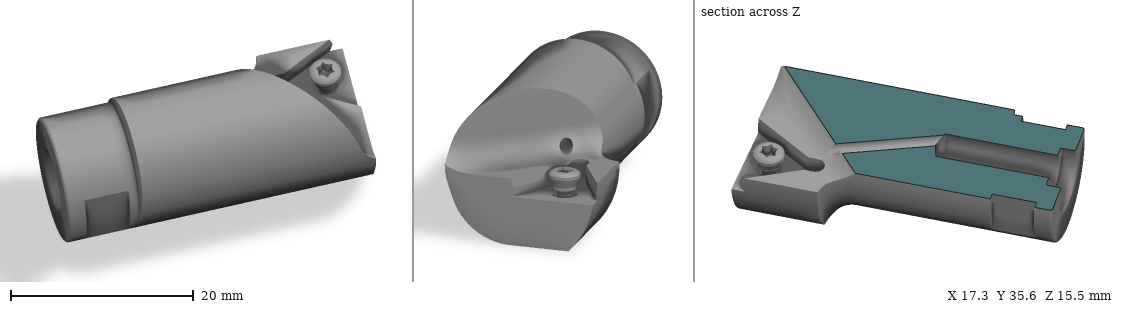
import cadquery as cq
import math


body_radius = 7.0
body_length = 35.59
shank_length = 8.0
shank_chamfer = 0.2
body_offset = 1.6
body_offset_angle = 19.7
shoulder_slope = 14.0
end_face_angle = 3.0

flats_across = 12.0
flat_start = 2.0
flat_width = 5.0

bore_diameter = 4.92
bore_depth = 14.5
bore_tip_angle = 118.0
counterbore_diameter = 6.86
counterbore_depth = 1.7
counterbore_chamfer = 0.2
coolant_diameter = 1.5
coolant_exit = (-3.56, 25.3, 1.68)
coolant_angle = 22.0
coolant_inner_length = 12.5
coolant_outer_length = 3.0

head_radius = 9.76
neck_end = 22.7
neck_fillet = 3.1
seat_height = 0.65
relief_angle = 40.0
relief_fillet = 3.2
relief_edge_y = 31.10

screw_x = -5.50
screw_y = 32.48
pocket_floor = -1.43
pocket_inscribed_radius = 3.03
pocket_corner_angle = 60.0
upper_wall_angle = 8.0
lower_wall_angle = 4.0
pocket_arm = 14.0
slot_width = 2.01
slot_x = -5.69
slot_end_y = 27.1
slot_top = 2.0

screw_shank_diameter = 1.5
countersink_diameter = 2.9
screw_end = -5.5
screw_head_diameter = 3.5
screw_neck_diameter = 2.5
screw_crown_diameter = 2.3
screw_rim_top = 0.97
screw_rim_bottom = 0.6
screw_crown_top = 1.32
dome_mid_radius = 1.5
dome_mid_height = 1.20
screw_neck_top = -0.4
screw_neck_bottom = -0.75

socket_points = 6
socket_tip_radius = 1.13
socket_valley_radius = 0.78
socket_depth = 1.0
socket_cone_depth = 0.7

clearance = 20.0


def along_y(start):
    """XZ workplane at Y = start whose extrusions run toward +Y; local x is -X, local y is Z."""
    return cq.Workplane(cq.Plane((0, start, 0), xDir=(-1, 0, 0), normal=(0, 1, 0)))


def about_y(profile):
    """Turns a profile, drawn with x as the radius and y along the shank, about the Y axis."""
    return profile.close().revolve(360, (0, 0, 0), (0, 1, 0))


def make_blank():
    """Shank and offset body, whose outline is two circles joined by their common tangents."""
    lean = math.radians(body_offset_angle)
    offset_x = body_offset * math.sin(lean)
    offset_z = body_offset * math.cos(lean)
    side_x = body_radius * math.cos(lean)
    side_z = body_radius * math.sin(lean)
    top_x = offset_x + body_radius * math.sin(lean)
    top_z = offset_z + body_radius * math.cos(lean)
    outline = (
        along_y(shank_length)
        .moveTo(side_x, side_z)
        .lineTo(side_x - offset_x, side_z + offset_z)
        .threePointArc((-top_x, top_z), (-side_x - offset_x, offset_z - side_z))
        .lineTo(-side_x, -side_z)
        .threePointArc(
            (body_radius * math.sin(lean), -body_radius * math.cos(lean)), (side_x, side_z)
        )
        .close()
    )
    body = outline.extrude(body_length - shank_length)
    shoulder_radius = body_radius + 2 * body_offset
    shoulder_rise = 2 * body_offset * math.tan(math.radians(shoulder_slope))
    shoulder = about_y(
        cq.Workplane("XY")
        .moveTo(body_radius, shank_length)
        .lineTo(shoulder_radius, shank_length)
        .lineTo(shoulder_radius, shank_length + shoulder_rise)
    )
    shank = along_y(0).circle(body_radius).extrude(shank_length).faces("<Y").chamfer(shank_chamfer)
    return body.cut(shoulder).union(shank)


def make_head():
    """Quarter flange on the -X side, blended into the body by a concave neck."""
    arc_centre = body_radius + neck_fillet
    neck_start = neck_end + math.sqrt(neck_fillet**2 - (arc_centre - head_radius) ** 2)
    arc_reach = neck_fillet * math.sqrt(0.5)
    flange = about_y(
        cq.Workplane("XY")
        .moveTo(0, neck_end)
        .lineTo(body_radius, neck_end)
        .threePointArc((arc_centre - arc_reach, neck_end + arc_reach), (head_radius, neck_start))
        .lineTo(head_radius, body_length)
        .lineTo(0, body_length)
    )
    flange_top = body_radius * math.sin(math.radians(body_offset_angle))
    quarter = cq.Workplane("XY").box(
        clearance, body_length, body_radius + flange_top, centered=False
    ).translate((-clearance, 0, -body_radius))
    return flange.intersect(quarter)


def make_relief():
    """Clears the body ahead of the oblique wall and leaves the flat around the insert."""
    turn = math.radians(relief_angle)
    plane = cq.Plane(
        (0, relief_edge_y, seat_height),
        xDir=(-math.sin(turn), math.cos(turn), 0),
        normal=(math.cos(turn), math.sin(turn), 0),
    )
    arc_drop = relief_fillet * (1 - math.sqrt(0.5))
    return (
        cq.Workplane(plane)
        .moveTo(clearance, 0)
        .lineTo(0, 0)
        .threePointArc((arc_drop - relief_fillet, arc_drop), (-relief_fillet, relief_fillet))
        .lineTo(-relief_fillet, clearance)
        .lineTo(clearance, clearance)
        .close()
        .extrude(clearance, both=True)
    )


def make_end_trim():
    """Everything ahead of the slanting front face."""
    corner_x = -math.sqrt(head_radius**2 - pocket_floor**2)
    return (
        cq.Workplane("XY")
        .box(2 * clearance, clearance, 2 * clearance, centered=(True, False, True))
        .rotate((0, 0, 0), (0, 0, 1), -end_face_angle)
        .translate((corner_x, body_length, 0))
    )


def make_flats():
    """Two wrench flats on the sides of the shank."""
    cutter = cq.Workplane("XY").box(
        clearance, flat_width, clearance, centered=(False, False, True)
    ).translate((flats_across / 2, flat_start, 0))
    return cutter.union(cutter.mirror("YZ"))


def make_bore():
    """Chamfered counterbore and drilled bore with a conical end."""
    bore_radius = bore_diameter / 2
    counterbore_radius = counterbore_diameter / 2
    tip = bore_depth + bore_radius / math.tan(math.radians(bore_tip_angle / 2))
    return about_y(
        cq.Workplane("XY")
        .moveTo(0, 0)
        .lineTo(counterbore_radius + counterbore_chamfer, 0)
        .lineTo(counterbore_radius, counterbore_chamfer)
        .lineTo(counterbore_radius, counterbore_depth)
        .lineTo(bore_radius, counterbore_depth)
        .lineTo(bore_radius, bore_depth)
        .lineTo(0, tip)
    )


def make_coolant_hole():
    """Slanting hole from the bore tip to the relief fillet."""
    turn = math.radians(coolant_angle)
    direction = cq.Vector(-math.sin(turn), math.cos(turn), 0)
    start = cq.Vector(*coolant_exit) - direction * coolant_inner_length
    length = coolant_inner_length + coolant_outer_length
    return cq.Workplane(cq.Solid.makeCylinder(coolant_diameter / 2, length, start, direction))


def make_insert_pocket():
    """Triangular pocket with ridged walls, ending in a round-ended slot at its inner corner."""
    half_depth = (seat_height - pocket_floor) / 2
    pocket_half_angle = math.radians(pocket_corner_angle / 2)
    ridge_inset = half_depth * math.tan(math.radians(upper_wall_angle))
    corner_distance = (pocket_inscribed_radius - ridge_inset) / math.sin(pocket_half_angle)
    lean = math.radians(end_face_angle)
    corner_x = screw_x - corner_distance * math.sin(lean)
    corner_y = screw_y - corner_distance * math.cos(lean)
    arms = [
        (
            corner_x + pocket_arm * math.sin(lean + side),
            corner_y + pocket_arm * math.cos(lean + side),
        )
        for side in (pocket_half_angle, -pocket_half_angle)
    ]
    ridge_height = pocket_floor + half_depth

    def flared(wall_angle):
        """Triangle that widens upward from the ridge."""
        return (
            cq.Workplane("XY", origin=(0, 0, ridge_height))
            .polyline([(corner_x, corner_y), *arms])
            .close()
            .extrude(half_depth, taper=-wall_angle)
        )

    upper = flared(upper_wall_angle)
    lower = flared(lower_wall_angle).mirror("XY", (0, 0, ridge_height))
    slot_length = screw_y - slot_end_y
    slot = (
        cq.Workplane("XY", origin=(slot_x, slot_end_y + slot_length / 2, pocket_floor))
        .slot2D(slot_length + slot_width, slot_width, 90)
        .extrude(slot_top - pocket_floor)
    )
    return upper.union(lower).union(slot)


def about_screw(profile):
    """Turns a profile, drawn with x as the radius and y as the height, about the screw axis."""
    turned = profile.close().revolve(360, (0, 0, 0), (0, 1, 0))
    return turned.translate((screw_x, screw_y, 0))


def make_screw_hole():
    """Countersunk hole in the pocket floor."""
    shank_radius = screw_shank_diameter / 2
    sink_radius = countersink_diameter / 2
    return about_screw(
        cq.Workplane("XZ")
        .moveTo(0, pocket_floor)
        .lineTo(sink_radius, pocket_floor)
        .lineTo(shank_radius, pocket_floor - (sink_radius - shank_radius))
        .lineTo(shank_radius, screw_end)
        .lineTo(0, screw_end)
    )


def make_socket():
    """Six-lobed socket with a conical bottom."""
    step = 2 * math.pi / socket_points
    cone_top = screw_crown_top - socket_depth
    cone_tip = cone_top - socket_cone_depth
    lobes = cq.Workplane("XY", origin=(0, 0, cone_tip)).moveTo(socket_tip_radius, 0)
    for point in range(socket_points):
        valley = (point + 0.5) * step
        tip = (point + 1) * step
        lobes = lobes.threePointArc(
            (socket_valley_radius * math.cos(valley), socket_valley_radius * math.sin(valley)),
            (socket_tip_radius * math.cos(tip), socket_tip_radius * math.sin(tip)),
        )
    lobes = lobes.close().extrude(screw_crown_top - cone_tip).translate((screw_x, screw_y, 0))
    drilled = about_screw(
        cq.Workplane("XZ")
        .moveTo(0, screw_crown_top)
        .lineTo(screw_head_diameter / 2, screw_crown_top)
        .lineTo(screw_head_diameter / 2, cone_top)
        .lineTo(0, cone_tip)
    )
    return lobes.intersect(drilled)


def make_screw():
    """Clamping screw: domed head, tapered seat, neck and shank."""
    head_edge = screw_head_diameter / 2
    neck_edge = screw_neck_diameter / 2
    shank_edge = screw_shank_diameter / 2
    turned = about_screw(
        cq.Workplane("XZ")
        .moveTo(0, screw_crown_top)
        .lineTo(screw_crown_diameter / 2, screw_crown_top)
        .threePointArc((dome_mid_radius, dome_mid_height), (head_edge, screw_rim_top))
        .lineTo(head_edge, screw_rim_bottom)
        .lineTo(neck_edge, screw_neck_top)
        .lineTo(neck_edge, screw_neck_bottom)
        .lineTo(shank_edge, screw_neck_bottom - (neck_edge - shank_edge))
        .lineTo(shank_edge, screw_end)
        .lineTo(0, screw_end)
    )
    return turned.cut(make_socket())


holder = make_blank().union(make_head())
for cutter in (
    make_relief(),
    make_end_trim(),
    make_flats(),
    make_bore(),
    make_coolant_hole(),
    make_insert_pocket(),
    make_screw_hole(),
):
    holder = holder.cut(cutter)

screw = make_screw()

result = cq.Compound.makeCompound([holder.val(), screw.val()])